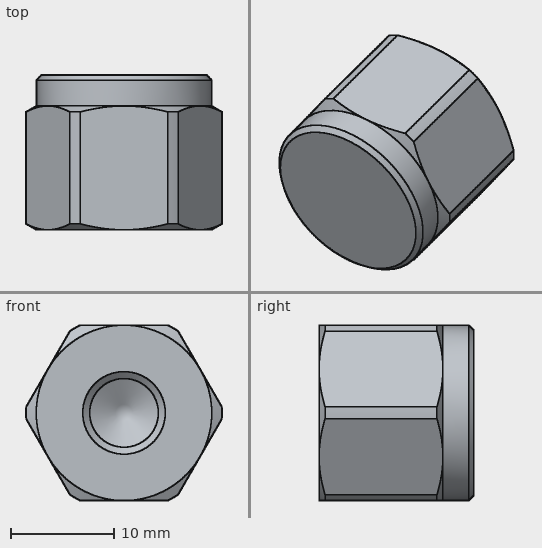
import cadquery as cq
import math

corner_diameter = 19.0
across_flats = 17.0
total_length = 15.0
collar_length = 3.0
collar_chamfer = 0.5
bevel_angle = 30.0

hole_diameter = 6.65
mouth_diameter = 8.0
hole_depth = 10.0
drill_point_angle = 118.0

hex_length = total_length - collar_length
flat_radius = across_flats / 2
corner_radius = corner_diameter / 2
bevel_length = (corner_radius - flat_radius) * math.tan(math.radians(bevel_angle))


def revolve_about_y(profile):
    """Revolve (radius, distance along Y) points around the Y axis."""
    return cq.Workplane("XY").polyline(profile).close().revolve(360, (0, 0, 0), (0, 1, 0))


def make_hexagon():
    """Hexagonal prism with flats facing +Z and -Z, bevelled at both ends."""
    sharp_corner_diameter = across_flats / math.cos(math.pi / 6)
    prism = (
        cq.Workplane("XZ")
        .polygon(6, sharp_corner_diameter)
        .extrude(-hex_length)
    )
    turned_envelope = revolve_about_y([
        (0, 0),
        (flat_radius, 0),
        (corner_radius, bevel_length),
        (corner_radius, hex_length - bevel_length),
        (flat_radius, hex_length),
        (0, hex_length),
    ])
    return prism.intersect(turned_envelope)


def make_collar():
    """Round collar on the +Y end, chamfered on its outer rim."""
    return revolve_about_y([
        (0, hex_length),
        (flat_radius, hex_length),
        (flat_radius, total_length - collar_chamfer),
        (flat_radius - collar_chamfer, total_length),
        (0, total_length),
    ])


def make_hole():
    """Blind drilled hole with a 45 degree chamfered mouth and conical bottom."""
    hole_radius = hole_diameter / 2
    mouth_radius = mouth_diameter / 2
    mouth_depth = mouth_radius - hole_radius
    point_length = hole_radius / math.tan(math.radians(drill_point_angle / 2))
    return revolve_about_y([
        (0, 0),
        (mouth_radius, 0),
        (hole_radius, mouth_depth),
        (hole_radius, hole_depth),
        (0, hole_depth + point_length),
    ])


result = make_hexagon().union(make_collar()).cut(make_hole())